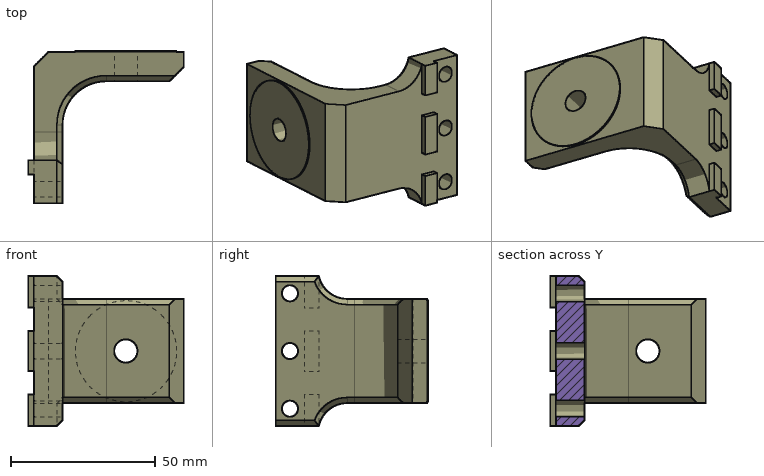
import cadquery as cq
import math

length = 52.0
depth = 52.5
plate_height = 52.0
arm_height = 36.2
plate_thickness = 10.0
arm_thickness = 10.2

inside_radius = 15.0
corner_chamfer = 5.0
edge_chamfer = 2.0
neck_radius = 10.0

lug_height = 2.0
lug_width = 5.0
lug_start = 10.0
middle_lug_length = 14.0
end_lug_length = 11.0

plate_hole_diameter = 5.5
plate_hole_spacing = 20.0
plate_hole_y = lug_start / 2
arm_hole_diameter = 8.0
arm_hole_x = 31.85
pad_diameter = 35.1
pad_thickness = 0.5

head_end = lug_start + lug_width
arm_inner_y = depth - arm_thickness
bend_offset = inside_radius * (1 - math.cos(math.radians(45)))
neck_drop = (plate_height - arm_height) / 2
neck_run = math.sqrt(neck_radius**2 - (neck_radius - neck_drop) ** 2)


def angle_profile():
    """L-shaped bracket section extruded over the full plate height."""
    bend_x = plate_thickness + inside_radius
    bend_y = arm_inner_y - inside_radius
    return (
        cq.Workplane("XY")
        .moveTo(0, 0)
        .lineTo(plate_thickness, 0)
        .lineTo(plate_thickness, bend_y)
        .threePointArc(
            (plate_thickness + bend_offset, arm_inner_y - bend_offset),
            (bend_x, arm_inner_y),
        )
        .lineTo(length, arm_inner_y)
        .lineTo(length, depth)
        .lineTo(corner_chamfer, depth)
        .lineTo(0, depth - corner_chamfer)
        .close()
        .extrude(plate_height / 2, both=True)
    )


def side_outline():
    """Wide head narrowing through two concave arcs to the arm."""
    head = plate_height / 2
    arm = arm_height / 2
    neck_end = head_end + neck_run
    return (
        cq.Workplane("YZ")
        .moveTo(0, -head)
        .lineTo(head_end, -head)
        .radiusArc((neck_end, -arm), neck_radius)
        .lineTo(depth, -arm)
        .lineTo(depth, arm)
        .lineTo(neck_end, arm)
        .radiusArc((head_end, head), neck_radius)
        .lineTo(0, head)
        .close()
        .extrude(length)
    )


def chamfer_inner_edges(body):
    """Bevel the upper and lower borders of the inside faces."""
    face_points = [
        (plate_thickness, head_end, 0),
        (plate_thickness + bend_offset, arm_inner_y - bend_offset, 0),
        (arm_hole_x, arm_inner_y, 0),
    ]
    edges = []
    for point in face_points:
        face = body.faces(cq.selectors.NearestToPointSelector(point))
        edges += face.edges("not(|Z)").vals()
    return body.newObject(edges).chamfer(edge_chamfer)


def tip_cut():
    """Wedge that bevels the inside corner of the arm tip."""
    return (
        cq.Workplane("XY")
        .moveTo(length, arm_inner_y)
        .lineTo(length - corner_chamfer, arm_inner_y)
        .lineTo(length, arm_inner_y + corner_chamfer)
        .close()
        .extrude(plate_height / 2, both=True)
    )


def lug(center_z, lug_length):
    return cq.Workplane("XY").box(lug_height, lug_width, lug_length).translate(
        (-lug_height / 2, lug_start + lug_width / 2, center_z)
    )


def arm_cylinder(diameter, start_y, end_y):
    """Cylinder along Y on the arm hole axis."""
    axis = cq.Vector(0, 1, 0)
    return cq.Workplane(
        cq.Solid.makeCylinder(diameter / 2, end_y - start_y, cq.Vector(arm_hole_x, start_y, 0), axis)
    )


bracket = angle_profile().intersect(side_outline())
bracket = chamfer_inner_edges(bracket).cut(tip_cut())

end_lug_z = (plate_height - end_lug_length) / 2
bracket = bracket.union(lug(0, middle_lug_length))
for side in (-1, 1):
    bracket = bracket.union(lug(side * end_lug_z, end_lug_length))

pad_top = depth + pad_thickness
bracket = bracket.union(arm_cylinder(pad_diameter, arm_inner_y + arm_thickness / 2, pad_top))
bracket = bracket.cut(arm_cylinder(arm_hole_diameter, 0, pad_top))

plate_holes = (
    cq.Workplane("YZ")
    .pushPoints([(plate_hole_y, row * plate_hole_spacing) for row in (-1, 0, 1)])
    .circle(plate_hole_diameter / 2)
    .extrude(plate_thickness)
)
result = bracket.cut(plate_holes)